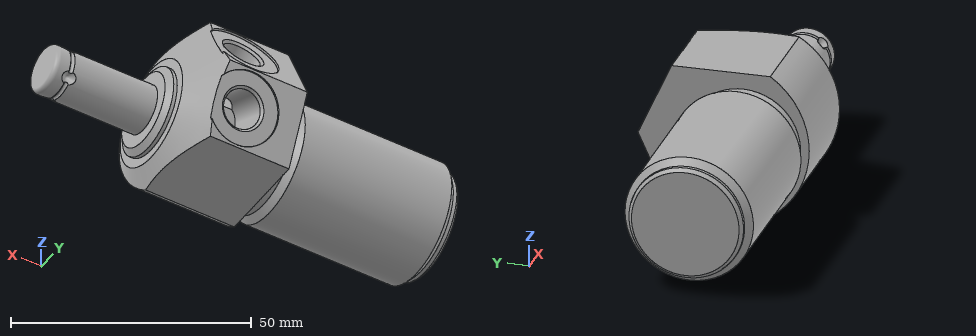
import cadquery as cq
import math

length = 94.6

barrel_radius = 13.9
neck_radius = 12.4
barrel_start = 2.9
barrel_end = 38.9
barrel_chamfer = barrel_radius - neck_radius
barrel_lead = 1.3
end_face_radius = 11.6
end_chamfer = neck_radius - end_face_radius

head_start = 43.9
head_end = 67.9
head_height = 31.8
head_half_height = head_height / 2
apex_y = 22.8
shoulder_y = 15.5
arc_start_y = -5.9
arc_bottom_y = -14.3
cone_end_radius = 12.2
cone_slope = 2.1

collar_radius = 10.1
collar_face_radius = 8.5
collar_chamfer_start = 68.8
collar_end = 69.9
pin_radius = 5.6
pin_fillet = 1.1
groove_x = 90.6
groove_radius = 0.5
dimple_radius = 1.6
dimple_depth = 1.6
dimple_count = 4

port_x = 57.1
spotface_radius = 8.2
spotface_depth = 0.5
port_radius = 4.35
port_mouth_radius = 4.9
port_chamfer = port_mouth_radius - port_radius
port_depth = 11.35


def revolve_about_x(profile):
    """Revolve a closed profile of (x, radius) points about the X axis."""
    sketch = cq.Workplane("XY").polyline(profile).close()
    return sketch.revolve(360, (0, 0, 0), (1, 0, 0))


def make_barrel():
    return revolve_about_x([
        (0, 0),
        (0, end_face_radius),
        (end_chamfer, neck_radius),
        (barrel_start - barrel_lead, neck_radius),
        (barrel_start, barrel_radius),
        (barrel_end, barrel_radius),
        (barrel_end + barrel_chamfer, neck_radius),
        (head_start, neck_radius),
        (head_start, 0),
    ])


def make_head():
    block = (
        cq.Workplane("YZ", origin=(head_start, 0, 0))
        .moveTo(apex_y, 0)
        .lineTo(shoulder_y, head_half_height)
        .lineTo(arc_start_y, head_half_height)
        .threePointArc((arc_bottom_y, 0), (arc_start_y, -head_half_height))
        .lineTo(shoulder_y, -head_half_height)
        .close()
        .extrude(head_end - head_start)
    )
    cone_start_radius = cone_end_radius + cone_slope * (head_end - head_start)
    cone = revolve_about_x([
        (head_start, 0),
        (head_start, cone_start_radius),
        (head_end, cone_end_radius),
        (head_end, 0),
    ])
    return block.intersect(cone)


def make_collar():
    return revolve_about_x([
        (head_end, 0),
        (head_end, collar_radius),
        (collar_chamfer_start, collar_radius),
        (collar_end, collar_face_radius),
        (collar_end, 0),
    ])


def make_pin():
    pin = cq.Workplane("YZ", origin=(collar_end, 0, 0)).circle(pin_radius).extrude(length - collar_end)
    pin = pin.faces(">X").edges().fillet(pin_fillet)
    groove = cq.Solid.makeTorus(pin_radius, groove_radius, cq.Vector(groove_x, 0, 0), cq.Vector(1, 0, 0))
    pin = pin.cut(cq.Workplane(groove))
    for i in range(dimple_count):
        angle = math.radians(45 + i * 360 / dimple_count)
        outward = cq.Vector(0, math.cos(angle), math.sin(angle))
        dimple = cq.Solid.makeCone(
            dimple_radius, 0, dimple_depth, pnt=outward * pin_radius, dir=outward * -1
        )
        pin = pin.cut(cq.Workplane(dimple.translate(cq.Vector(groove_x, 0, 0))))
    return pin


def make_port(side):
    """Spotface and chamfered blind bore; side is +1 for upper, -1 for lower."""
    center = cq.Vector(port_x, (apex_y + shoulder_y) / 2, side * head_half_height / 2)
    inward = cq.Vector(0, -head_half_height, -side * (apex_y - shoulder_y)).normalized()
    seat = center + inward * spotface_depth
    spotface = cq.Solid.makeCylinder(spotface_radius, spotface_depth, center, inward)
    mouth = cq.Solid.makeCone(port_mouth_radius, port_radius, port_chamfer, seat, inward)
    bore = cq.Solid.makeCylinder(port_radius, port_depth, seat, inward)
    return cq.Workplane(spotface).union(cq.Workplane(mouth)).union(cq.Workplane(bore))


head = make_head()
for side in (1, -1):
    head = head.cut(make_port(side))

result = make_barrel().union(head).union(make_collar()).union(make_pin())